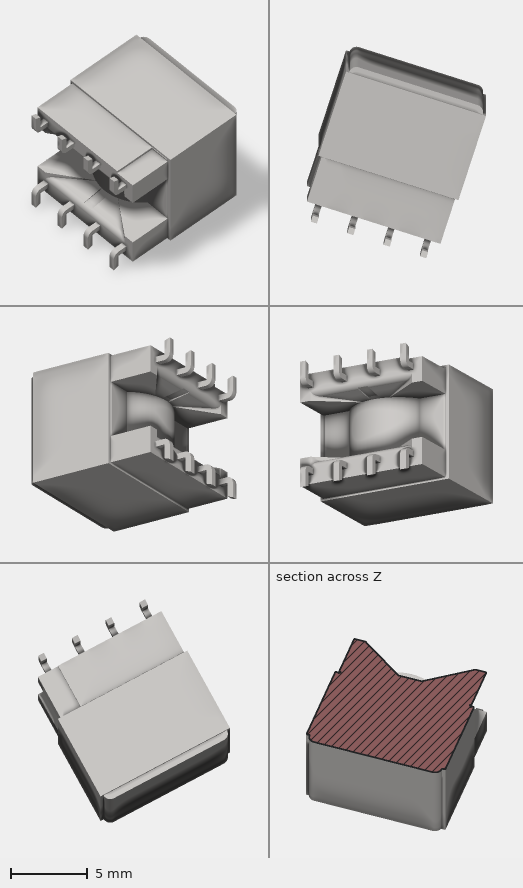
import cadquery as cq
import math


core_width = 9.6
core_depth = 5.87
core_height = 7.85

tape_width = 9.15
tape_height = 7.5
tape_back_protrusion = 0.49
tape_front_protrusion = 0.04
tape_back_radius = tape_back_protrusion
tape_front_radius = 0.17

flange_width = tape_width
flange_depth = 3.1
flange_outer_z = 3.8
window_half_height = 1.925
flange_back_y = -tape_front_protrusion
flange_front_y = flange_back_y - flange_depth

coil_radius = 3.25
coil_protrusion = 1.39

recess_half_width = 3.8
recess_mouth_depth = 0.71
recess_lip_radius = 0.39
recess_floor_length = 2.15
recess_apex_length = 2.69

groove_width = 0.76
groove_start = 0.18
groove_start_depth = 0.38
groove_bend = 1.65
groove_bend_depth = 0.2
groove_end = 2.0

pad_start_x = 3.09
pad_depth = 0.175

pin_count = 4
pin_pitch = 2.5
pin_width = 0.42
pin_thickness = 0.4
pin_reach = 1.1
pin_inner_z = 2.8
pin_span = 8.65
pin_tip_z = pin_span / 2
pin_tip_drop = 0.14
pin_inside_radius = 0.05
pin_outside_radius = pin_inside_radius + pin_thickness
pin_embed = 0.5


def make_core():
    core = cq.Workplane("XY").box(core_width, core_depth, core_height).translate((0, core_depth / 2, 0))
    mouth = cq.Workplane("XY").box(tape_width, 2 * tape_front_radius, tape_height)
    return core.cut(mouth)


def make_tape():
    length = tape_front_protrusion + core_depth + tape_back_protrusion
    tape = cq.Workplane("XY").box(tape_width, length, tape_height)
    tape = tape.edges("|Z and >Y").fillet(tape_back_radius)
    tape = tape.edges("|Z and <Y").fillet(tape_front_radius)
    return tape.translate((0, length / 2 - tape_front_protrusion, 0))


def make_coil():
    axis_y = coil_radius - coil_protrusion
    return cq.Workplane("XY").center(0, axis_y).circle(coil_radius).extrude(window_half_height, both=True)


def side_profile():
    """YZ sketch with its origin on the window edge of the upper flange's front face."""
    return cq.Workplane("YZ", origin=(0, flange_front_y, window_half_height))


def make_recess():
    lip_floor_depth = recess_mouth_depth - recess_lip_radius
    lip_offset = recess_lip_radius * (1 - math.sqrt(0.5))
    profile = (
        side_profile()
        .lineTo(0, recess_mouth_depth)
        .threePointArc((lip_offset, lip_floor_depth + lip_offset), (recess_lip_radius, lip_floor_depth))
        .lineTo(recess_floor_length, 0)
        .close()
        .extrude(recess_half_width, both=True)
    )
    fan = (
        cq.Workplane("XY", origin=(0, flange_front_y, window_half_height))
        .moveTo(-recess_half_width, 0)
        .lineTo(recess_half_width, 0)
        .lineTo(0, recess_apex_length)
        .close()
        .extrude(recess_mouth_depth)
    )
    return profile.intersect(fan)


def make_groove():
    return (
        side_profile()
        .moveTo(groove_start, 0)
        .lineTo(groove_start, groove_start_depth)
        .lineTo(groove_bend, groove_bend_depth)
        .lineTo(groove_end, 0)
        .close()
        .extrude(groove_width / 2, both=True)
    )


def make_pin(x):
    """Gull-wing pin of the upper flange, bent upward at its front end."""
    front_y = flange_front_y - pin_reach
    back_y = front_y + pin_thickness
    outer_z = pin_inner_z + pin_thickness
    root_y = flange_front_y + pin_embed
    pin = (
        cq.Workplane("YZ", origin=(x, 0, 0))
        .moveTo(root_y, pin_inner_z)
        .lineTo(front_y, pin_inner_z)
        .lineTo(front_y, pin_tip_z)
        .lineTo(back_y, pin_tip_z - pin_tip_drop)
        .lineTo(back_y, outer_z)
        .lineTo(root_y, outer_z)
        .close()
        .extrude(pin_width / 2, both=True)
    )
    pin = pin.edges(cq.selectors.NearestToPointSelector((x, front_y, pin_inner_z))).fillet(pin_outside_radius)
    return pin.edges(cq.selectors.NearestToPointSelector((x, back_y, outer_z))).fillet(pin_inside_radius)


def make_upper_flange():
    height = flange_outer_z - window_half_height
    flange = cq.Workplane("XY").box(flange_width, flange_depth, height)
    flange = flange.translate(
        (0, (flange_front_y + flange_back_y) / 2, window_half_height + height / 2)
    )
    flange = flange.cut(make_recess()).cut(make_groove())
    for index in range(pin_count):
        flange = flange.union(make_pin((index - (pin_count - 1) / 2) * pin_pitch))
    return flange


def make_pad_cut():
    pad_width = flange_width / 2 - pad_start_x
    return cq.Workplane("XY").box(pad_width, flange_depth, pad_depth).translate(
        (
            pad_start_x + pad_width / 2,
            (flange_front_y + flange_back_y) / 2,
            flange_outer_z - pad_depth / 2,
        )
    )


upper_flange = make_upper_flange()
lower_flange = upper_flange.mirror("XY")

result = (
    make_core()
    .union(make_tape())
    .union(upper_flange.cut(make_pad_cut()))
    .union(lower_flange)
    .union(make_coil())
)